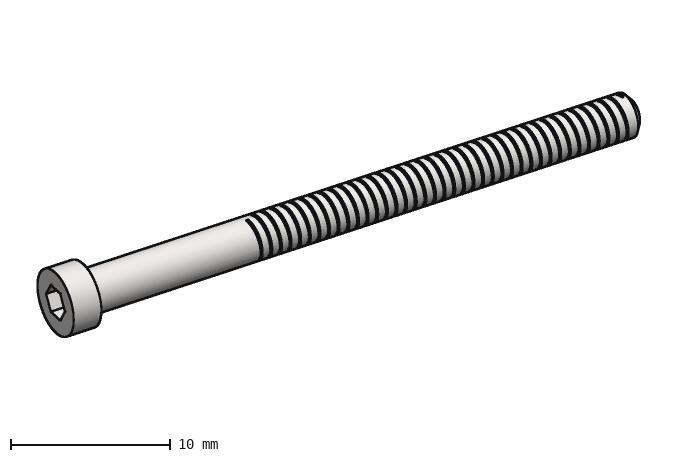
import cadquery as cq
import math

total_length = 42.0
head_diameter = 4.5
head_height = 2.0
shank_diameter = 3.0
tip_chamfer_length = 0.45
tip_chamfer_inset = 0.55
socket_across_flats = 2.0
socket_depth = 1.5

thread_length = 27.35
thread_turns = 39
thread_start = 13.95
groove_width = 0.145
groove_depth = 0.1
groove_overshoot = 0.05

shank_radius = shank_diameter / 2
thread_pitch = thread_length / thread_turns


def make_blank():
    """Head and chamfered shank, standing on the head with the axis along Z."""
    tip_radius = shank_radius - tip_chamfer_inset
    half_profile = (
        cq.Workplane("XZ")
        .lineTo(head_diameter / 2, 0)
        .lineTo(head_diameter / 2, head_height)
        .lineTo(shank_radius, head_height)
        .lineTo(shank_radius, total_length - tip_chamfer_length)
        .lineTo(tip_radius, total_length)
        .lineTo(0, total_length)
        .close()
    )
    return half_profile.revolve(360, (0, 0, 0), (0, 1, 0))


def make_socket():
    """Hexagonal prism that opens the drive socket in the head."""
    across_corners = socket_across_flats / math.cos(math.pi / 6)
    return cq.Workplane("XY").polygon(6, across_corners).extrude(socket_depth)


def make_thread_groove():
    """V-shaped cutter swept along the helix, widened past the shank surface."""
    helix = cq.Wire.makeHelix(thread_pitch, thread_length, shank_radius)
    half_width = groove_width / 2 * (groove_depth + groove_overshoot) / groove_depth
    outer = shank_radius + groove_overshoot
    cutter = (
        cq.Workplane("XZ")
        .moveTo(shank_radius - groove_depth, 0)
        .lineTo(outer, half_width)
        .lineTo(outer, -half_width)
        .close()
        .sweep(cq.Workplane(obj=helix), isFrenet=True)
    )
    return cutter.rotate((0, 0, 0), (0, 0, 1), -90).translate((0, 0, thread_start))


screw = make_blank().cut(make_socket()).cut(make_thread_groove())

result = screw.rotate((0, 0, 0), (1, 0, 0), -90).translate((0, -total_length / 2, 0))